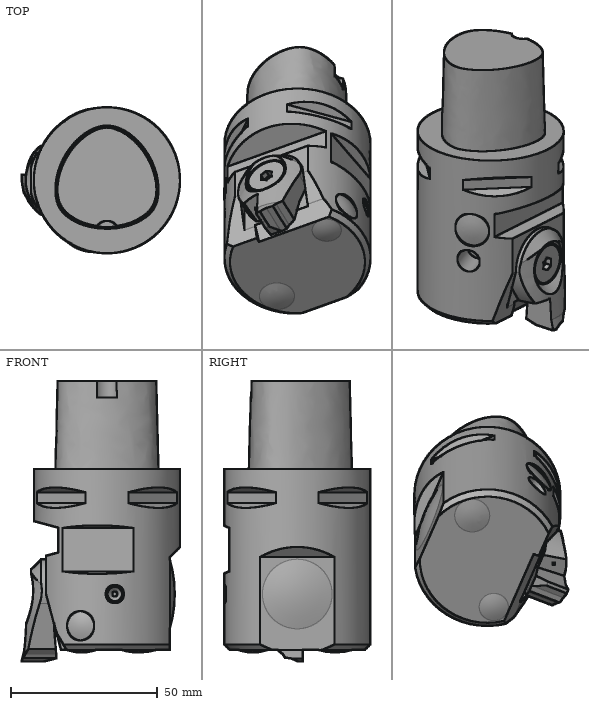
import cadquery as cq
import math

OVERALL_LENGTH_X = 54.2
OVERALL_HEIGHT = 96.0
TOP_Z = 30.0
BODY_DIAMETER = 50.0
BODY_RADIUS = BODY_DIAMETER / 2
BODY_BOTTOM_Z = -61.9
BOTTOM_CHAMFER = 1.9

SHANK_RADIUS = 17.7
SHANK_LOBE = 1.1
SHANK_TAPER = 1 / 40
SHANK_POINTS = 36
KEYWAY_DIAMETER = 8.0
KEYWAY_CENTER_Y = -17.9
KEYWAY_DEPTH = 5.7

GRIP_AZIMUTHS = (45, 135, 225, 315)
GRIP_Z = -9.9
GRIP_FLOOR_HEIGHT = 3.6
GRIP_FLOOR_RADIUS = 22.1
GRIP_FLANK_ANGLE = 30

FLAT_AZIMUTH = 262.1
FLAT_Z = -27.6
FLAT_HEIGHT = 14.8
FLAT_RADIUS = 21.8
FLAT_FLANK_ANGLE = 16

SLOT_TOP_Z = -20.2
SLOT_BOTTOM_Z = -28.6
SLOT_FLOOR_X = -16.7
SEAT_FACE_X = -20.8
RELIEF_ANGLE = 15

CORNER_ANGLE = 30
CORNER_START_X = -17.7
CORNER_START_Z = -55.3
CORNER_EDGE_Y = 8.0

BACK_FLAT_X = 21.5
BACK_FLAT_Z = -30.2
BACK_DOME_HEIGHT = 1.7

SEAT_Z = -42.8
SEAT_DIAMETER = 24.0
SEAT_FLOOR_X = -17.0
CARTRIDGE_DIAMETER = 23.8
RIM_X = -22.5
FACE_AXIS_X = -9.6
FACE_TOP_X = -26.2
FLARE_X = -28.3
FLARE_Z = -62.2
GULLET_EDGE_Y = 6.7
GULLET_LOW_Z = -56.3
GULLET_RISE_ANGLE = 10
CUTTING_FACE_Y = 1.9
TIP_WIDTH = 1.5
TIP_RELIEF_START = (-1.9, -64.9)
TIP_RELIEF_END = (-4.1, -64.6)
TIP_CORNER = (-5.1, -63.3)
FLANK_END = (-7.1, -61.6)
GULLET_SIDE_MIDDLE = (10.2, -50.3)
BACK_LEAN_TOP_Z = -46.1
BACK_LEAN_DEEPEST = (-18.0, -54.0)
BACK_HEEL = (-17.2, -64.8)
HEEL_RELIEF_X = -21.7
TIP_X = BODY_RADIUS - OVERALL_LENGTH_X
TIP_Z = TOP_Z - OVERALL_HEIGHT
GULLET_COOLANT_DIAMETER = 1.0
GULLET_COOLANT_Y = 4.9
GULLET_COOLANT_X = -22.6
GULLET_COOLANT_DEPTH = 5.8

HEAD_DIAMETER = 13.6
HEAD_FACE_X = -25.0
HEAD_SEAT_X = -20.2
BOLT_DIAMETER = 8.0
BOLT_END_X = -4.8
HEX_DIAMETER = 4.7
HEX_DEPTH = 2.4
ACCESS_DIAMETER = 14.4
ACCESS_HALF_ANGLE = 48

PLUG_DIAMETER = 10.0
LARGE_PLUG_DIAMETER = 12.0
PLUG_HEIGHT = 0.91
SIDE_PLUGS = [
    (248.5, -53.7, PLUG_DIAMETER),
    (114.0, -26.4, LARGE_PLUG_DIAMETER),
]
BOTTOM_PLUGS = [
    (-8.6, -15.2, PLUG_DIAMETER),
    (10.9, 13.0, LARGE_PLUG_DIAMETER),
]
SIDE_HOLE_DIAMETER = 8.0
SIDE_HOLE_AZIMUTH = 111.2
SIDE_HOLE_Z = -38.0
SIDE_HOLE_DEPTH = 11.5
NOZZLE_X = 2.7
NOZZLE_RIM_DIAMETER = 6.2
NOZZLE_RIM_DEPTH = 0.6
NOZZLE_CONE_DIAMETER = 5.0
NOZZLE_CONE_DEPTH = 1.9
NOZZLE_BORE_DIAMETER = 1.7
NOZZLE_BORE_DEPTH = 4.8

CLEAR = 4.8
WIDE = 76.8


def tan_deg(angle):
    return math.tan(math.radians(angle))


def prism_along_y(points, y_start, y_end):
    """Solid with an X-Z outline, running along Y."""
    plane = cq.Plane(origin=(0, y_end, 0), xDir=(1, 0, 0), normal=(0, -1, 0))
    return cq.Workplane(plane).polyline(points).close().extrude(y_end - y_start)


def cylinder(diameter, start, direction, length):
    return cq.Workplane(cq.Solid.makeCylinder(diameter / 2, length, cq.Vector(*start), cq.Vector(*direction)))


def radial_point(radius, azimuth, z):
    angle = math.radians(azimuth)
    return (radius * math.cos(angle), radius * math.sin(angle), z)


def dome(diameter, height, base_point, direction):
    """Spherical cap standing on a flat circular base."""
    radius = diameter / 2
    sphere_radius = (radius**2 + height**2) / (2 * height)
    mid_radius = radius / 2
    mid_height = height - sphere_radius + math.sqrt(sphere_radius**2 - mid_radius**2)
    cap = (
        cq.Workplane("XZ")
        .lineTo(radius, 0)
        .threePointArc((mid_radius, mid_height), (0, height))
        .close()
        .revolve(360, (0, 0, 0), (0, 1, 0))
    )
    base = cq.Plane(origin=base_point, normal=direction)
    return cq.Workplane(cap.val().moved(cq.Location(base)))


def shank_wire(z):
    """Lobed outline whose distance from the axis to its tangent varies as a cosine, three times a turn."""
    mean_radius = SHANK_RADIUS - SHANK_TAPER * z
    points = []
    for i in range(SHANK_POINTS):
        angle = 2 * math.pi * i / SHANK_POINTS
        phase = 3 * (angle - math.pi / 2)
        support = mean_radius + SHANK_LOBE * math.cos(phase)
        slope = -3 * SHANK_LOBE * math.sin(phase)
        x = support * math.cos(angle) - slope * math.sin(angle)
        y = support * math.sin(angle) + slope * math.cos(angle)
        points.append(cq.Vector(x, y, z))
    return cq.Wire.assembleEdges([cq.Edge.makeSpline(points, periodic=True)])


def make_shank():
    shank = cq.Workplane(cq.Solid.makeLoft([shank_wire(0), shank_wire(TOP_Z)]))
    keyway_start = (0, KEYWAY_CENTER_Y, TOP_Z - KEYWAY_DEPTH)
    return shank.cut(cylinder(KEYWAY_DIAMETER, keyway_start, (0, 0, 1), KEYWAY_DEPTH + CLEAR))


def side_notch(azimuth, z, floor_height, floor_radius, flank_angle):
    """Flat-bottomed notch across the cylinder with sloping upper and lower flanks."""
    half_floor = floor_height / 2
    outer_radius = BODY_RADIUS + CLEAR
    half_mouth = half_floor + (outer_radius - floor_radius) * tan_deg(flank_angle)
    outline = [
        (floor_radius, z - half_floor),
        (outer_radius, z - half_mouth),
        (outer_radius, z + half_mouth),
        (floor_radius, z + half_floor),
    ]
    return prism_along_y(outline, -WIDE / 2, WIDE / 2).rotate((0, 0, 0), (0, 0, 1), azimuth)


def front_relief():
    """Slot, seat face and sloping lower face on the -X side."""
    outer_x = -BODY_RADIUS - CLEAR
    low_z = BODY_BOTTOM_Z - CLEAR
    relief = tan_deg(RELIEF_ANGLE)
    outline = [
        (outer_x, SLOT_TOP_Z + (SLOT_FLOOR_X - outer_x) * relief),
        (SLOT_FLOOR_X, SLOT_TOP_Z),
        (SLOT_FLOOR_X, SLOT_BOTTOM_Z),
        (SEAT_FACE_X, SLOT_BOTTOM_Z - (SLOT_FLOOR_X - SEAT_FACE_X) * relief),
        (SEAT_FACE_X, SEAT_Z),
        (SEAT_FACE_X + (SEAT_Z - low_z) * relief, low_z),
        (outer_x, low_z),
    ]
    return prism_along_y(outline, -WIDE / 2, WIDE / 2)


def corner_relief():
    outer_x = -BODY_RADIUS - CLEAR
    low_z = BODY_BOTTOM_Z - CLEAR
    slope = tan_deg(CORNER_ANGLE)
    outline = [
        (outer_x, CORNER_START_Z + (CORNER_START_X - outer_x) / slope),
        (CORNER_START_X + (CORNER_START_Z - low_z) * slope, low_z),
        (outer_x, low_z),
    ]
    return prism_along_y(outline, -WIDE / 2, CORNER_EDGE_Y)


def cartridge_seat():
    """Round-topped pocket, open at the bottom."""
    depth = BODY_RADIUS + SEAT_FLOOR_X
    pocket = cylinder(SEAT_DIAMETER, (SEAT_FLOOR_X, 0, SEAT_Z), (-1, 0, 0), depth)
    height = SEAT_Z - BODY_BOTTOM_Z
    channel = cq.Workplane().box(depth, SEAT_DIAMETER, height).translate(
        (SEAT_FLOOR_X - depth / 2, 0, SEAT_Z - height / 2)
    )
    return pocket.union(channel)


def back_relief():
    outer_x = BODY_RADIUS + CLEAR
    low_z = BODY_BOTTOM_Z - CLEAR
    outline = [
        (BACK_FLAT_X, low_z),
        (BACK_FLAT_X, BACK_FLAT_Z),
        (outer_x, BACK_FLAT_Z + outer_x - BACK_FLAT_X),
        (outer_x, low_z),
    ]
    return prism_along_y(outline, -WIDE / 2, WIDE / 2)


def add_side_plug(body, azimuth, z, diameter):
    base_radius = math.sqrt(BODY_RADIUS**2 - (diameter / 2) ** 2)
    base = radial_point(base_radius, azimuth, z)
    outward = radial_point(1, azimuth, 0)
    body = body.cut(cylinder(diameter, base, outward, CLEAR))
    return body.union(dome(diameter, PLUG_HEIGHT, base, outward))


def nozzle_opening():
    """Stepped conical coolant opening on the -Y side, revolved about its own axis."""
    surface_y = -math.sqrt(BODY_RADIUS**2 - NOZZLE_X**2)
    rim_y = surface_y + NOZZLE_RIM_DEPTH
    cone_y = rim_y + NOZZLE_CONE_DEPTH
    end_y = cone_y + NOZZLE_BORE_DEPTH
    outline = [
        (0, surface_y - CLEAR),
        (NOZZLE_RIM_DIAMETER / 2, surface_y - CLEAR),
        (NOZZLE_RIM_DIAMETER / 2, rim_y),
        (NOZZLE_CONE_DIAMETER / 2, rim_y),
        (NOZZLE_BORE_DIAMETER / 2, cone_y),
        (NOZZLE_BORE_DIAMETER / 2, end_y),
        (0, end_y),
    ]
    opening = cq.Workplane("XY").polyline(outline).close().revolve(360, (0, 0, 0), (0, 1, 0))
    return opening.translate((NOZZLE_X, 0, SEAT_Z))


def side_hole():
    start = radial_point(BODY_RADIUS + CLEAR, SIDE_HOLE_AZIMUTH, SIDE_HOLE_Z)
    inward = radial_point(-1, SIDE_HOLE_AZIMUTH, 0)
    return cylinder(SIDE_HOLE_DIAMETER, start, inward, SIDE_HOLE_DEPTH + CLEAR)


def make_housing():
    body = cq.Workplane("XY").circle(BODY_RADIUS).extrude(BODY_BOTTOM_Z)
    body = body.faces("<Z").edges().chamfer(BOTTOM_CHAMFER)
    for azimuth in GRIP_AZIMUTHS:
        body = body.cut(side_notch(azimuth, GRIP_Z, GRIP_FLOOR_HEIGHT, GRIP_FLOOR_RADIUS, GRIP_FLANK_ANGLE))
    body = body.cut(side_notch(FLAT_AZIMUTH, FLAT_Z, FLAT_HEIGHT, FLAT_RADIUS, FLAT_FLANK_ANGLE))
    body = body.cut(front_relief()).cut(corner_relief()).cut(cartridge_seat()).cut(back_relief())
    body = body.cut(nozzle_opening()).cut(side_hole())
    body = body.cut(cylinder(BOLT_DIAMETER, (BOLT_END_X, 0, SEAT_Z), (-1, 0, 0), BODY_RADIUS))
    for azimuth, z, diameter in SIDE_PLUGS:
        body = add_side_plug(body, azimuth, z, diameter)
    for x, y, diameter in BOTTOM_PLUGS:
        body = body.union(dome(diameter, PLUG_HEIGHT, (x, y, BODY_BOTTOM_Z), (0, 0, -1)))
    body = body.union(dome(CARTRIDGE_DIAMETER, BACK_DOME_HEIGHT, (BACK_FLAT_X, 0, SEAT_Z), (1, 0, 0)))
    return body.union(make_shank())


def flank_tangent_point(y, z):
    """Point where the -Y flank line from (y, z) touches the round head."""
    radius = CARTRIDGE_DIAMETER / 2
    drop = z - SEAT_Z
    direction = math.atan2(drop, y) - math.acos(radius / math.hypot(y, drop))
    return (radius * math.cos(direction), SEAT_Z + radius * math.sin(direction))


def cartridge_blank():
    """Round head running into a narrow shank, with the outline in Y-Z."""
    radius = CARTRIDGE_DIAMETER / 2
    plane = cq.Plane(origin=(TIP_X, 0, 0), xDir=(0, 1, 0), normal=(1, 0, 0))
    outline = (
        cq.Workplane(plane)
        .moveTo(radius, SEAT_Z)
        .threePointArc(GULLET_SIDE_MIDDLE, (GULLET_EDGE_Y, GULLET_LOW_Z))
        .lineTo(CUTTING_FACE_Y, GULLET_LOW_Z)
        .lineTo(CUTTING_FACE_Y, TIP_Z)
        .lineTo(CUTTING_FACE_Y - TIP_WIDTH, TIP_Z)
        .lineTo(*TIP_RELIEF_START)
        .lineTo(*TIP_RELIEF_END)
        .lineTo(*TIP_CORNER)
        .lineTo(*FLANK_END)
        .lineTo(*flank_tangent_point(*FLANK_END))
        .threePointArc((0, SEAT_Z + radius), (radius, SEAT_Z))
        .close()
    )
    return outline.extrude(SEAT_FLOOR_X - TIP_X)


def face_envelope():
    """Slightly conical face flaring at the tip, revolved about an upright axis behind it."""
    top_z = SEAT_Z + CARTRIDGE_DIAMETER / 2
    outline = [
        (FACE_AXIS_X, top_z),
        (FACE_TOP_X, top_z),
        (FLARE_X, FLARE_Z),
        (TIP_X, TIP_Z),
        (FACE_AXIS_X, TIP_Z),
    ]
    profile = cq.Workplane("XZ").polyline(outline).close()
    return profile.revolve(360, (FACE_AXIS_X, 0, 0), (FACE_AXIS_X, 1, 0))


def rim_bevel():
    """Everything outside a 45 degree cone about the clamping axis, on the upper half only."""
    radius = CARTRIDGE_DIAMETER / 2
    cone = cq.Workplane(
        cq.Solid.makeCone(radius, 0, radius, cq.Vector(RIM_X, 0, SEAT_Z), cq.Vector(-1, 0, 0))
    )
    upper = cq.Workplane().box(radius, 2 * radius, radius)
    return upper.translate((RIM_X - radius / 2, 0, SEAT_Z + radius / 2)).cut(cone)


def back_clearance():
    """Leans the shank away from the housing below the seat and relieves the underside of the tip."""
    outline = [
        (SEAT_FLOOR_X, BACK_LEAN_TOP_Z),
        BACK_LEAN_DEEPEST,
        BACK_HEEL,
        (HEEL_RELIEF_X, TIP_Z),
        (SEAT_FLOOR_X, TIP_Z),
    ]
    return prism_along_y(outline, -WIDE / 2, WIDE / 2)


def chip_gullet():
    """Sloping roof beside the cutting face, higher toward -X."""
    rise = (SEAT_FLOOR_X - TIP_X) * tan_deg(GULLET_RISE_ANGLE)
    outline = [
        (SEAT_FLOOR_X, GULLET_LOW_Z),
        (TIP_X, GULLET_LOW_Z + rise),
        (TIP_X, GULLET_LOW_Z),
    ]
    wedge = prism_along_y(outline, CUTTING_FACE_Y, CARTRIDGE_DIAMETER)
    outlet = cylinder(
        GULLET_COOLANT_DIAMETER,
        (GULLET_COOLANT_X, GULLET_COOLANT_Y, GULLET_LOW_Z),
        (0, 0, 1),
        GULLET_COOLANT_DEPTH,
    )
    return wedge.union(outlet)


def screw_recess():
    """Bolt hole, head counterbore and conical access opening."""
    reach = HEAD_FACE_X - TIP_X
    mouth_radius = ACCESS_DIAMETER / 2 + reach * tan_deg(ACCESS_HALF_ANGLE)
    outline = [
        (SEAT_FLOOR_X, 0),
        (SEAT_FLOOR_X, BOLT_DIAMETER / 2),
        (HEAD_SEAT_X, BOLT_DIAMETER / 2),
        (HEAD_SEAT_X, HEAD_DIAMETER / 2),
        (HEAD_FACE_X, HEAD_DIAMETER / 2),
        (HEAD_FACE_X, ACCESS_DIAMETER / 2),
        (TIP_X, mouth_radius),
        (TIP_X, 0),
    ]
    recess = cq.Workplane("XY").polyline(outline).close().revolve(360, (0, 0, 0), (1, 0, 0))
    return recess.translate((0, 0, SEAT_Z))


def make_cartridge():
    cartridge = cartridge_blank().intersect(face_envelope())
    return cartridge.cut(rim_bevel()).cut(back_clearance()).cut(chip_gullet()).cut(screw_recess())


def make_screw():
    head = cylinder(HEAD_DIAMETER, (HEAD_SEAT_X, 0, SEAT_Z), (-1, 0, 0), HEAD_SEAT_X - HEAD_FACE_X)
    bolt = cylinder(BOLT_DIAMETER, (BOLT_END_X, 0, SEAT_Z), (-1, 0, 0), BOLT_END_X - HEAD_SEAT_X)
    socket_plane = cq.Plane(origin=(HEAD_FACE_X, 0, SEAT_Z), xDir=(0, 0, 1), normal=(1, 0, 0))
    socket = cq.Workplane(socket_plane).polygon(6, HEX_DIAMETER).extrude(HEX_DEPTH)
    return head.union(bolt).cut(socket)


housing = make_housing()
cartridge = make_cartridge()
screw = make_screw()
result = cq.Compound.makeCompound([body.solids().val() for body in (housing, cartridge, screw)])